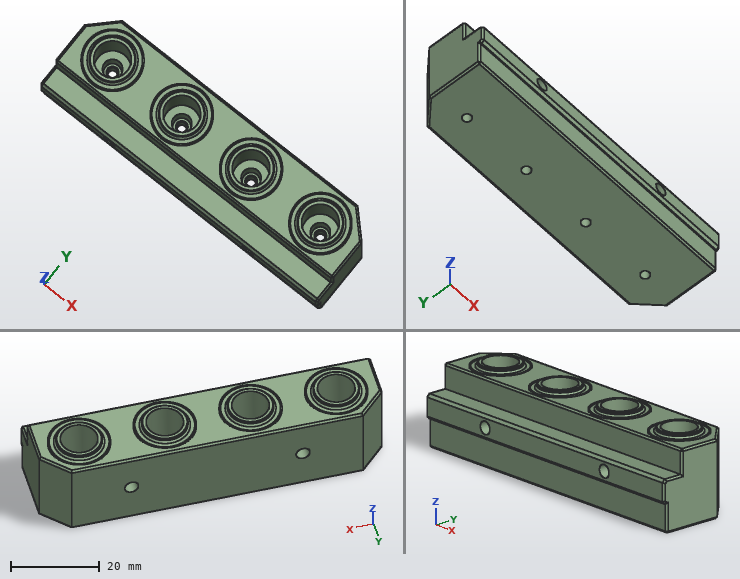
import cadquery as cq

length = 80.0
depth = 22.2
block_height = 19.0
lip_depth = 5.5
lip_overhang = 1.0
lip_height = 6.0
lip_middle_z = 10.0
lip_chamfer = 0.7
edge_chamfer = 0.5
corner_cut = 6.0

cross_hole_diameter = 3.2
cross_hole_spacing = length / 2

bushing_count = 4
bushing_pitch = length / bushing_count
bushing_y = 13.8
bushing_diameter = 14.2
bore_diameter = 8.5
seat_z = 8.0
bushing_chamfer = 0.36
collar_base_diameter = 11.5
collar_diameter = 10.5
collar_top_z = 20.0
collar_cone_height = 0.5
collar_chamfer = 0.2

drain_diameter = 2.3
drain_counterbore_diameter = 4.1
drain_counterbore_depth = 4.0
drain_counterbore_top_diameter = 4.6
drain_chamfer = 0.2

half_length = length / 2
lip_top_z = lip_middle_z + lip_height / 2
lip_bottom_z = lip_middle_z - lip_height / 2
bushing_places = [
    ((i - (bushing_count - 1) / 2) * bushing_pitch, bushing_y) for i in range(bushing_count)
]
TOLERANCE = 0.01


def revolve_about_vertical(half_section, x, y):
    """Turn a (radius, Z) outline about the vertical axis through (x, y)."""
    turned = cq.Workplane("XZ").polyline(half_section).close().revolve(360, (0, 0, 0), (0, 1, 0))
    return turned.translate((x, y, 0))


def make_stepped_bar():
    """Stepped section in the YZ plane, extruded along X."""
    section = [
        (depth, 0),
        (depth, block_height),
        (lip_depth, block_height),
        (lip_depth, lip_top_z),
        (lip_chamfer, lip_top_z),
        (0, lip_top_z - lip_chamfer),
        (0, lip_bottom_z + lip_chamfer),
        (lip_chamfer, lip_bottom_z),
        (lip_overhang, lip_bottom_z),
        (lip_overhang, 0),
    ]
    return cq.Workplane("YZ").polyline(section).close().extrude(half_length, both=True)


def cut_rear_corners(bar):
    for side in (-1, 1):
        corner = (
            cq.Workplane("XY")
            .polyline([
                (side * half_length, depth),
                (side * half_length, depth - corner_cut),
                (side * (half_length - corner_cut), depth),
            ])
            .close()
            .extrude(block_height)
        )
        bar = bar.cut(corner)
    return bar


def chamfer_outer_edges(bar):
    """Chamfer the top, bottom and end outlines, except the upright edges where ends meet corner cuts."""
    outlines = bar.faces("<X or >X or <Z or >Z").edges().vals()
    corner_y = depth - corner_cut
    chamfered = [edge for edge in outlines if not (
        edge.BoundingBox().ylen < TOLERANCE
        and edge.BoundingBox().xlen < TOLERANCE
        and abs(edge.Center().y - corner_y) < TOLERANCE
    )]
    return bar.newObject(chamfered).chamfer(edge_chamfer)


def drill_cross_holes(bar):
    holes = (
        cq.Workplane("XZ", origin=(0, 0, lip_middle_z))
        .pushPoints([(-cross_hole_spacing / 2, 0), (cross_hole_spacing / 2, 0)])
        .circle(cross_hole_diameter / 2)
        .extrude(-depth)
    )
    return bar.cut(holes)


def make_drain_cutter(x, y):
    """Tapered counterbore below the seat, then a chamfered hole down to the underside."""
    drain_radius = drain_diameter / 2
    step_z = seat_z - drain_counterbore_depth
    half_section = [
        (0, 0),
        (drain_radius, 0),
        (drain_radius, step_z - drain_chamfer),
        (drain_radius + drain_chamfer, step_z),
        (drain_counterbore_diameter / 2, step_z),
        (drain_counterbore_top_diameter / 2, seat_z),
        (0, seat_z),
    ]
    return revolve_about_vertical(half_section, x, y)


def cut_bushing_sockets(bar):
    """Round seats for the bushings, each with a drain through its floor."""
    for x, y in bushing_places:
        seat = (
            cq.Workplane("XY", origin=(x, y, seat_z))
            .circle(bushing_diameter / 2)
            .extrude(block_height - seat_z)
        )
        bar = bar.cut(seat).cut(make_drain_cutter(x, y))
    return bar


def make_block():
    block = chamfer_outer_edges(cut_rear_corners(make_stepped_bar()))
    return cut_bushing_sockets(drill_cross_holes(block))


def make_bushing(x, y):
    """Sleeve flush with the block top, with a raised tapered collar around its bore."""
    bore_radius = bore_diameter / 2
    outer_radius = bushing_diameter / 2
    collar_radius = collar_diameter / 2
    half_section = [
        (bore_radius, seat_z),
        (outer_radius, seat_z),
        (outer_radius, block_height - bushing_chamfer),
        (outer_radius - bushing_chamfer, block_height),
        (collar_base_diameter / 2, block_height),
        (collar_radius, block_height + collar_cone_height),
        (collar_radius, collar_top_z - collar_chamfer),
        (collar_radius - collar_chamfer, collar_top_z),
        (bore_radius, collar_top_z),
    ]
    return revolve_about_vertical(half_section, x, y)


block = make_block()
bushings = [make_bushing(x, y) for x, y in bushing_places]

result = cq.Compound.makeCompound([block.val(), *[bushing.val() for bushing in bushings]])